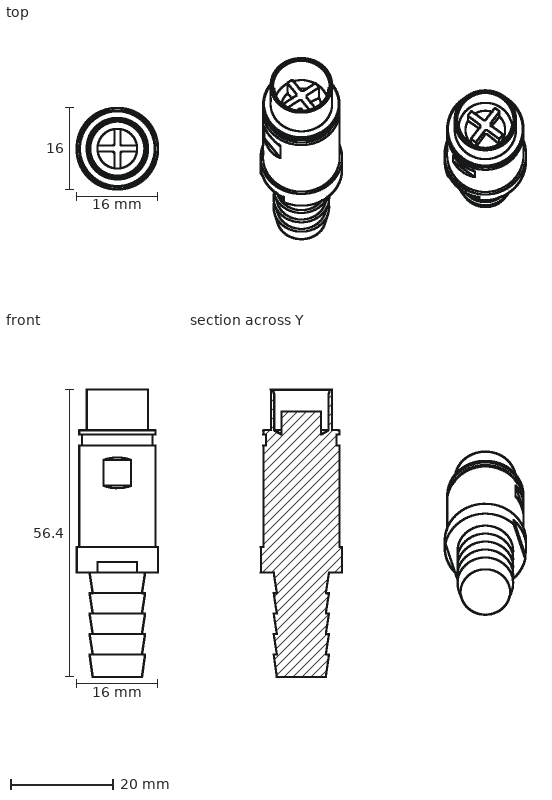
import cadquery as cq
import math

total_height = 56.35

barb_count = 5
barb_pitch = 4.0
end_barb_height = 4.45
barb_top_radius = 5.45
barb_foot_radius = 4.85
tail_height = end_barb_height + (barb_count - 1) * barb_pitch

collar_radius = 8.0
collar_height = 5.0
collar_top = tail_height + collar_height
collar_flat_height = 2.05

sleeve_radius = 7.5
sleeve_top = 45.35
flat_distance = 7.0
sleeve_flat_bottom = 37.5
sleeve_flat_top = 42.5

groove_radius = 6.95
flange_bottom = 47.45
flange_top = 48.4
flange_chamfer = 0.15
neck_radius = 6.05

bore_radius = 5.3
bore_depth = 8.0
rim_chamfer_radius = 5.75
rim_chamfer_depth = 0.15
lead_in_radius = 5.5
lead_in_depth = 1.0
core_radius = 3.9
seat_angle = 30.0
core_angle = 16.0

key_depth = 4.35
key_width = 1.2
key_corner_radius = 0.35


def cylinder(radius, bottom, top):
    return cq.Workplane("XY").workplane(offset=bottom).circle(radius).extrude(top - bottom)


def revolve_profile(points):
    """Revolve a closed (radius, height) outline about the Z axis."""
    return cq.Workplane("XZ").polyline(points).close().revolve(360, (0, 0, 0), (0, 1, 0))


def make_hose_tail():
    points = [(0, 0), (barb_foot_radius, 0)]
    for index in range(barb_count):
        barb_top = end_barb_height + index * barb_pitch
        points.append((barb_top_radius, barb_top))
        if index < barb_count - 1:
            points.append((barb_foot_radius, barb_top))
    points.append((0, tail_height))
    return revolve_profile(points)


def make_shell():
    collar = cylinder(collar_radius, tail_height, collar_top)
    sleeve = cylinder(sleeve_radius, collar_top, sleeve_top)
    groove = cylinder(groove_radius, sleeve_top, flange_bottom)
    flange = cylinder(sleeve_radius, flange_bottom, flange_top).faces(">Z").chamfer(flange_chamfer)
    neck = cylinder(neck_radius, flange_top, total_height)
    return collar.union(sleeve).union(groove).union(flange).union(neck)


def cut_flats(body):
    """Cut the collar and sleeve flats on the -Y and +Y sides."""
    flare = collar_radius - flat_distance
    collar_cut = [
        (flat_distance, tail_height),
        (collar_radius, tail_height),
        (collar_radius, tail_height + collar_flat_height),
        (flat_distance, tail_height + collar_flat_height),
    ]
    sleeve_cut = [
        (flat_distance, sleeve_flat_bottom),
        (collar_radius, sleeve_flat_bottom - flare),
        (collar_radius, sleeve_flat_top + flare),
        (flat_distance, sleeve_flat_top),
    ]
    for outline in (collar_cut, sleeve_cut):
        cutter = cq.Workplane("YZ").polyline(outline).close().extrude(collar_radius, both=True)
        body = body.cut(cutter).cut(cutter.mirror("XZ"))
    return body


def make_socket():
    """Socket space: rim chamfer, tapered lead-in, bore, conical seat and a low cone left on the floor."""
    bore_floor = total_height - bore_depth
    seat_floor = bore_floor - (bore_radius - core_radius) * math.tan(math.radians(seat_angle))
    cone_tip = seat_floor + core_radius * math.tan(math.radians(core_angle))
    return revolve_profile([
        (0, total_height),
        (rim_chamfer_radius, total_height),
        (lead_in_radius, total_height - rim_chamfer_depth),
        (bore_radius, total_height - lead_in_depth),
        (bore_radius, bore_floor),
        (core_radius, seat_floor),
        (0, cone_tip),
    ])


def make_key():
    """Cross-shaped key, its arm ends rounded to the core radius."""
    key_bottom = collar_top
    key_height = total_height - key_depth - key_bottom
    base = cq.Workplane("XY").workplane(offset=key_bottom)
    arm_x = base.rect(2 * bore_radius, key_width).extrude(key_height)
    arm_y = base.rect(key_width, 2 * bore_radius).extrude(key_height)
    inner_corners = cq.selectors.BoxSelector(
        (-key_width, -key_width, key_bottom),
        (key_width, key_width, key_bottom + key_height),
    )
    cross = arm_x.union(arm_y).edges("|Z").edges(inner_corners).fillet(key_corner_radius)
    return cross.intersect(cylinder(core_radius, key_bottom, key_bottom + key_height))


result = cut_flats(make_hose_tail().union(make_shell()))
result = result.cut(make_socket()).union(make_key())